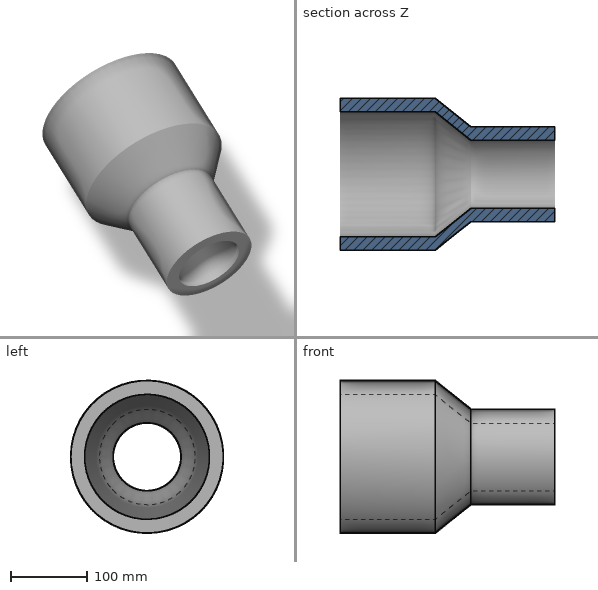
import cadquery as cq

total_length = 281.0
large_length = 124.2
small_length = 110.0
large_diameter = 200.0
small_diameter = 125.0
wall = 18.3

taper_start = large_length
taper_end = total_length - small_length


def stepped_cone(large_radius, small_radius):
    """Solid of revolution about X: large cylinder, cone, small cylinder."""
    return (
        cq.Workplane("XY")
        .polyline([
            (0, 0),
            (0, large_radius),
            (taper_start, large_radius),
            (taper_end, small_radius),
            (total_length, small_radius),
            (total_length, 0),
        ])
        .close()
        .revolve(360, (0, 0, 0), (1, 0, 0))
    )


body = stepped_cone(large_diameter / 2, small_diameter / 2)

bore = stepped_cone(large_diameter / 2 - wall, small_diameter / 2 - wall)

result = body.cut(bore)